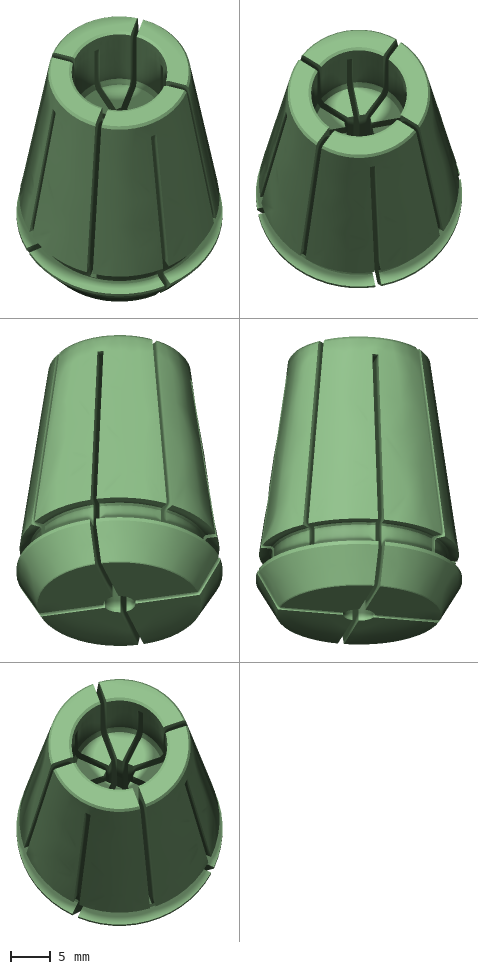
import cadquery as cq
import math


height = 34.0
flange_edge_z = 4.52
flange_top_z = 5.0
groove_top_z = 8.1
square_start_z = 18.02
bore_floor_z = 23.97

flange_diameter = 25.8
groove_diameter = 22.03
taper_diameter = 25.02
flange_angle = 30.0
taper_angle = 8.0
groove_bevel = 0.25
base_bevel = 0.1
top_bevel_width = 0.27
top_bevel_height = 0.35

shank_diameter = 3.98
square_side = 3.33
bore_diameter = 11.97
bore_floor_bevel_width = 0.4
bore_floor_angle = 30.0
bore_mouth_bevel_width = 0.35
bore_mouth_bevel_height = 0.2

slot_width = 0.78
bottom_slot_end_z = 31.5
top_slot_floor_z = 5.37
bottom_slot_angle = 0
top_slot_angle = 45


def revolve_profile(points):
    """Turn a closed (radius, height) outline about the Z axis."""
    return cq.Workplane("XZ").polyline(points).close().revolve(360, (0, 0, 0), (0, 1, 0))


def outer_body():
    flange_radius = flange_diameter / 2
    groove_radius = groove_diameter / 2
    taper_radius = taper_diameter / 2
    flange_cone_height = flange_edge_z - base_bevel
    base_radius = flange_radius - flange_cone_height * math.tan(math.radians(flange_angle))
    top_edge_z = height - top_bevel_height
    top_edge_radius = taper_radius - (top_edge_z - groove_top_z) * math.tan(math.radians(taper_angle))
    return revolve_profile([
        (0, 0),
        (base_radius - base_bevel, 0),
        (base_radius, base_bevel),
        (flange_radius, flange_edge_z),
        (flange_radius, flange_top_z),
        (groove_radius + groove_bevel, flange_top_z),
        (groove_radius, flange_top_z + groove_bevel),
        (groove_radius, groove_top_z - groove_bevel),
        (groove_radius + groove_bevel, groove_top_z),
        (taper_radius, groove_top_z),
        (top_edge_radius, top_edge_z),
        (top_edge_radius - top_bevel_width, height),
        (0, height),
    ])


def rear_bore():
    """Wide bore with a bevelled mouth and a steep bevel down to its flat floor."""
    radius = bore_diameter / 2
    floor_bevel_height = bore_floor_bevel_width / math.tan(math.radians(bore_floor_angle))
    return revolve_profile([
        (0, bore_floor_z),
        (radius - bore_floor_bevel_width, bore_floor_z),
        (radius, bore_floor_z + floor_bevel_height),
        (radius, height - bore_mouth_bevel_height),
        (radius + bore_mouth_bevel_width, height),
        (0, height),
    ])


def shank_hole():
    return cq.Workplane("XY").circle(shank_diameter / 2).extrude(square_start_z)


def square_hole():
    square_depth = bore_floor_z - square_start_z
    start_plane = cq.Workplane("XY", origin=(0, 0, square_start_z))
    return start_plane.rect(square_side, square_side).extrude(square_depth)


def crossed_slots(start_z, end_z, first_angle):
    """Two full-width slots at right angles, which make four radial slots."""
    slot = cq.Workplane("XY", origin=(0, 0, start_z)).rect(2 * flange_diameter, slot_width)
    slot = slot.extrude(end_z - start_z).rotate((0, 0, 0), (0, 0, 1), first_angle)
    return slot.union(slot.rotate((0, 0, 0), (0, 0, 1), 90))


result = outer_body().cut(rear_bore()).cut(shank_hole()).cut(square_hole())
result = result.cut(crossed_slots(0, bottom_slot_end_z, bottom_slot_angle))
result = result.cut(crossed_slots(top_slot_floor_z, height, top_slot_angle))